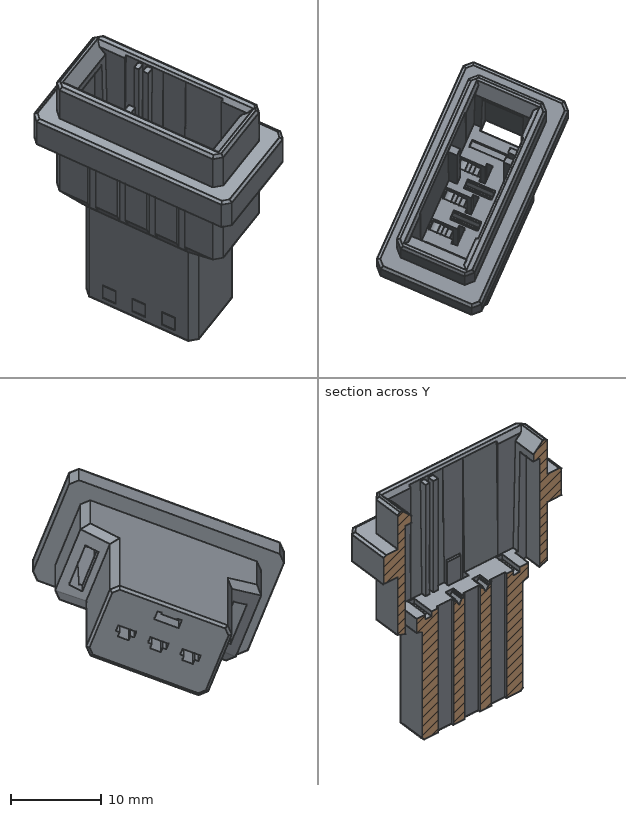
import cadquery as cq
import math

height = 33.6
flange_width = 25.57
flange_depth = 12.7
flange_bottom = 24.6
flange_top = 28.55
flange_rim_drop = 0.25
flange_rim_inset = 0.37
corner = 0.85
end_chamfer = 0.35

shell_width = 21.5
shell_front = -4.8
shell_bottom = 16.5
tail_width = 14.5
tail_front = -4.27
tail_top = 15.2
back = 4.6

floor_z = 17.47
mouth_half_width = 10.08
mouth_front = -3.9
mouth_back = 3.7
mouth_depth = 1.35
cavity_front = -3.53
cavity_back = 3.15
floor_half_width = 8.45
wall_half_width = 8.77
middle_half_width = 6.25
middle_front = -3.63
middle_back = 3.43

pitch = 3.83
terminal_positions = [-pitch, 0, pitch]
groove_positions = [factor * pitch for factor in (-1.5, -0.5, 0.5, 1.5)]
groove_width = 1.05
groove_depth = 0.47

key_rib_top = 33.05
back_rib_front = 2.52
front_rib_back = -2.52
back_ribs = [(-4.67, -4.05), (-3.55, -2.85)]
front_rib = (-2.32, -1.48)

window_inner = 8.03
window_outer = 9.6
window_front = -2.65
window_back = 2.32
window_top = 31.25

latch_half_width = 1.45
latch_front = 2.42
bump_half_width = 0.97
bump_front = 3.25
bump_top = 20.15

bar_half_width = 1.08
bar_front = -0.4
bar_back = 0.3
stem_half_width = 0.65
stem_front = -3.33
through_front = -0.95
step_fronts = [-1.5, -1.98, -2.42]
step_drop = 0.27
step_base = 15.8
trough_y = -3.05
trough_drop = 0.35
trough_rise = 0.1

vee_half_width = 0.55
vee_front = -1.65
vee_back = 1.68
vee_rim = 0.2
vee_rim_depth = 0.35
vee_depth = 1.0

floor_slot_x = 6.3
floor_slot_width = 0.85
floor_slot_front = -3.0
floor_slot_back = 3.02
floor_slot_depth = 0.67

label_width = 1.68
label_bottom = 1.1
label_top = 3.15
label_depth = 0.07


def block(x0, x1, y0, y1, z0, z1):
    """Box between two opposite corners."""
    return cq.Workplane("XY").box(x1 - x0, y1 - y0, z1 - z0, centered=False).translate((x0, y0, z0))


def outline(width, front, rear, rear_corner=0.0):
    """Rectangle with chamfered front corners and optional rear corners."""
    half = width / 2
    points = [
        (-half + corner, front),
        (half - corner, front),
        (half, front + corner),
        (half, rear - rear_corner),
        (half - rear_corner, rear),
        (-half + rear_corner, rear),
        (-half, rear - rear_corner),
        (-half, front + corner),
    ]
    return list(dict.fromkeys(points))


def frustum(lower, lower_z, upper, upper_z):
    """Straight-sided solid between two outlines lying at different heights."""
    return (
        cq.Workplane("XY", origin=(0, 0, lower_z)).polyline(lower).close()
        .workplane(offset=upper_z - lower_z).polyline(upper).close()
        .loft(ruled=True)
    )


def rectangle(half_width, front, rear):
    return [(-half_width, front), (half_width, front), (half_width, rear), (-half_width, rear)]


def make_housing():
    """Wide shell, sloping shoulder and narrow tail with one flat back."""
    shell_outline = outline(shell_width, shell_front, back)
    tail_outline = outline(tail_width, tail_front, back)
    shell = (
        cq.Workplane("XY", origin=(0, 0, shell_bottom))
        .polyline(shell_outline).close().extrude(height - shell_bottom)
    )
    tail = cq.Workplane("XY").polyline(tail_outline).close().extrude(tail_top)
    shoulder = frustum(tail_outline, tail_top, shell_outline, shell_bottom)
    housing = tail.union(shoulder).union(shell).clean()
    back_side_edges = housing.faces(">Y").edges("not |X")
    housing = back_side_edges.chamfer(corner)
    return housing.faces("<Z or >Z").chamfer(end_chamfer)


def make_flange():
    half_depth = flange_depth / 2
    points = outline(flange_width, -half_depth, half_depth, corner)
    straight = flange_top - flange_rim_drop - flange_bottom
    rim_angle = math.degrees(math.atan2(flange_rim_inset, flange_rim_drop))
    flange = cq.Workplane("XY", origin=(0, 0, flange_bottom)).polyline(points).close().extrude(straight)
    rim = (
        cq.Workplane("XY", origin=(0, 0, flange_top - flange_rim_drop))
        .polyline(points).close().extrude(flange_rim_drop, taper=rim_angle)
    )
    return flange.union(rim)


def make_cavity():
    """Drafted socket with a wider middle and a 45 degree lead-in at its mouth."""
    floor = rectangle(floor_half_width, cavity_front, cavity_back)
    top = rectangle(wall_half_width, cavity_front, cavity_back)
    middle_floor = rectangle(middle_half_width, cavity_front, cavity_back)
    middle_top = rectangle(middle_half_width, middle_front, middle_back)
    mouth = rectangle(mouth_half_width, mouth_front, mouth_back)
    mouth_end = rectangle(
        mouth_half_width - mouth_depth, mouth_front + mouth_depth, mouth_back - mouth_depth
    )
    end_slopes = (
        cq.Workplane("XZ", origin=(0, cavity_back, 0))
        .polyline([
            (-mouth_half_width, height),
            (-mouth_half_width + mouth_depth, height - mouth_depth),
            (mouth_half_width - mouth_depth, height - mouth_depth),
            (mouth_half_width, height),
        ]).close().extrude(cavity_back - cavity_front)
    )
    return (
        frustum(floor, floor_z, top, height)
        .union(end_slopes)
        .union(frustum(middle_floor, floor_z, middle_top, height))
        .union(frustum(mouth_end, height - mouth_depth, mouth, height))
    )


def make_front_grooves():
    grooves = cq.Workplane("XY")
    for x in groove_positions:
        grooves = grooves.union(block(
            x - groove_width / 2, x + groove_width / 2,
            shell_front, shell_front + groove_depth, tail_top, flange_bottom,
        ))
    return grooves


def make_key_ribs():
    """Upright polarising ribs on the long walls, running down into the floor."""
    ribs = block(*front_rib, middle_front, front_rib_back, floor_z, key_rib_top)
    for left, right in back_ribs:
        ribs = ribs.union(block(left, right, back_rib_front, middle_back, floor_z, key_rib_top))
    return ribs


def make_windows():
    """Slots in the end walls that open downwards through the shoulder."""
    right = block(window_inner, window_outer, window_front, window_back, tail_top, window_top)
    return right.union(right.mirror("YZ"))


def make_latch_slot():
    """Through slot along the back wall, leaving a bump with a 45 degree top."""
    lead_in_end = height - (mouth_back - middle_back)
    slot = block(-latch_half_width, latch_half_width, latch_front, middle_back, 0, lead_in_end)
    reach = middle_back - bump_front
    bump = (
        cq.Workplane("YZ", origin=(-bump_half_width, 0, 0))
        .polyline([
            (middle_back, 0),
            (middle_back, bump_top),
            (bump_front, bump_top - reach),
            (bump_front, 0),
        ]).close().extrude(2 * bump_half_width)
    )
    return slot.cut(bump)


def make_terminal_hole(x):
    """T-shaped hole: the bar passes through, the stem climbs in steps to a rounded trough."""
    bar = block(x - bar_half_width, x + bar_half_width, bar_front, bar_back, 0, floor_z)
    stem = block(x - stem_half_width, x + stem_half_width, through_front, bar_front, 0, floor_z)
    profile = [(through_front, floor_z), (through_front, step_base)]
    level = step_base
    for front in step_fronts:
        profile.append((front, level))
        level += step_drop
        profile.append((front, level))
    trough_z = level - trough_drop
    steps = (
        cq.Workplane("YZ", origin=(x - stem_half_width, 0, 0))
        .polyline(profile)
        .threePointArc((trough_y, trough_z), (stem_front, trough_z + trough_rise))
        .lineTo(stem_front, floor_z).close().extrude(2 * stem_half_width)
    )
    return bar.union(stem).union(steps)


def make_vee_groove(x):
    """Groove in the floor with a V-shaped bottom inside a stepped rim."""
    inner = vee_half_width - vee_rim
    rim_z = floor_z - vee_rim_depth
    return (
        cq.Workplane("XZ", origin=(x, vee_back, 0))
        .polyline([
            (-vee_half_width, floor_z),
            (-vee_half_width, rim_z),
            (-inner, rim_z),
            (0, floor_z - vee_depth),
            (inner, rim_z),
            (vee_half_width, rim_z),
            (vee_half_width, floor_z),
        ]).close().extrude(vee_back - vee_front)
    )


def make_floor_slot(x):
    half = floor_slot_width / 2
    return block(x - half, x + half, floor_slot_front, floor_slot_back, floor_z - floor_slot_depth, floor_z)


def make_label_recess(x):
    half = label_width / 2
    return block(x - half, x + half, tail_front, tail_front + label_depth, label_bottom, label_top)


result = make_housing().union(make_flange())
result = result.cut(make_front_grooves())
result = result.cut(make_cavity()).cut(make_windows()).cut(make_latch_slot())
result = result.union(make_key_ribs())
for terminal_x in terminal_positions:
    result = result.cut(make_terminal_hole(terminal_x))
    result = result.cut(make_label_recess(terminal_x))
for side in (-1, 1):
    result = result.cut(make_vee_groove(side * pitch / 2))
    result = result.cut(make_floor_slot(side * floor_slot_x))